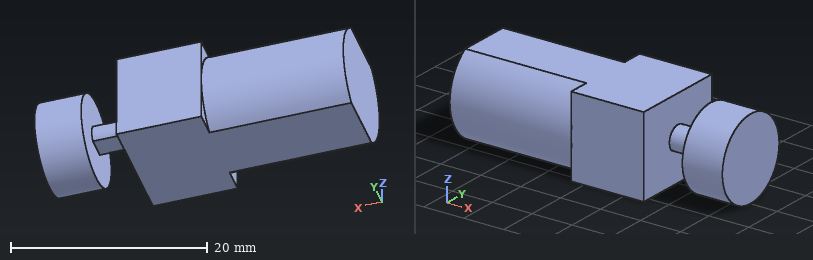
import cadquery as cq

total_length = 33.45
body_width = 12.0
body_height = 10.0

barrel_length = 15.22
block_length = 9.1
head_thickness = 5.02
head_diameter = body_height
body_length = barrel_length + block_length
pin_length = total_length - body_length - head_thickness

pin_diameter = 3.0
pin_flat_depth = 0.97


def cylinder_along_x(start, length, diameter):
    return cq.Workplane("YZ", origin=(start, 0, 0)).circle(diameter / 2).extrude(length)


def box_along_x(start, length, width, bottom, top):
    middle = (bottom + top) / 2
    plane = cq.Workplane("YZ", origin=(start, 0, middle))
    return plane.rect(width, top - bottom).extrude(length)


def barrel():
    """Round barrel with flats flush with the top and bottom of the block."""
    flats = box_along_x(0, barrel_length, body_width, -body_height / 2, body_height / 2)
    return cylinder_along_x(0, barrel_length, body_width).intersect(flats)


def block():
    return box_along_x(barrel_length, block_length, body_width, -body_height / 2, body_height / 2)


def pin():
    """Round pin cut flat along its underside."""
    kept = box_along_x(body_length, pin_length, pin_diameter, -pin_flat_depth, pin_diameter / 2)
    return cylinder_along_x(body_length, pin_length, pin_diameter).intersect(kept)


def head():
    return cylinder_along_x(body_length + pin_length, head_thickness, head_diameter)


result = barrel().union(block()).union(pin()).union(head())